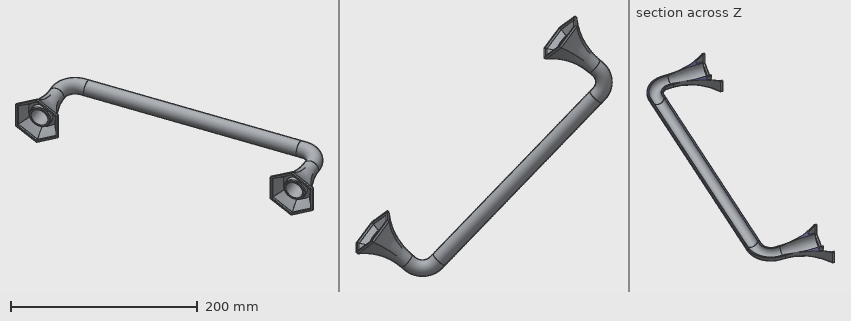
import cadquery as cq
import math

LENGTH = 350.0
DEPTH = 84.0
FOOT_CORNERS = 57.5

TUBE_DIAMETER = 18.0
BORE_DIAMETER = 13.0
BEND_RADIUS = 20.0
ELBOW_STUB = 5.0

RIM_HEIGHT = 2.5
FOOT_WALL = 2.0
POCKET_DEPTH = 13.5
COLLAR_DIAMETER = 25.5
COLLAR_HEIGHT = 6.3
COLLAR_CHAMFER = 1.0
FOOT_BORE_DIAMETER = 20.0
FOOT_BORE_TOP = 26.2
FLARE_STEPS = 6

SIDES = 6
HALF_SIDE_ANGLE = math.pi / SIDES
TUBE_RADIUS = TUBE_DIAMETER / 2
BORE_RADIUS = BORE_DIAMETER / 2
CORNER_RADIUS = FOOT_CORNERS / 2
FLAT_RADIUS = CORNER_RADIUS * math.cos(HALF_SIDE_ANGLE)
FOOT_X = LENGTH / 2 - FLAT_RADIUS
BAR_Y = DEPTH - TUBE_RADIUS
FOOT_HEIGHT = BAR_Y - BEND_RADIUS - ELBOW_STUB
BAR_LENGTH = 2 * (FOOT_X - BEND_RADIUS - ELBOW_STUB)


def plane_at(y):
    """Plane across the foot at height y, with its normal along +Y and local x along +Z."""
    return cq.Plane(origin=(0, y, 0), xDir=(0, 0, 1), normal=(0, 1, 0))


def flare_radius(y, base_radius):
    """Radius at height y on an arc that leaves the neck parallel to the foot axis."""
    from_neck = FOOT_HEIGHT - y
    flare_height = FOOT_HEIGHT - RIM_HEIGHT
    growth = base_radius - TUBE_RADIUS
    arc_radius = (flare_height**2 + growth**2) / (2 * growth)
    return TUBE_RADIUS + arc_radius - math.sqrt(arc_radius**2 - from_neck**2)


def polar(radius, angle):
    return (radius * math.cos(angle), radius * math.sin(angle))


def hexagon(y, inset):
    """Straight-sided hexagon with corners along Z, its sides moved in by inset."""
    across_corners = FOOT_CORNERS - 2 * inset / math.cos(HALF_SIDE_ANGLE)
    return cq.Workplane(plane_at(y)).polygon(SIDES, across_corners)


def flare_section(y, inset):
    """Six bowed sides: a circle at the neck that turns into a hexagon at the rim."""
    corner = flare_radius(y, CORNER_RADIUS) - inset / math.cos(HALF_SIDE_ANGLE)
    flat = flare_radius(y, FLAT_RADIUS) - inset
    section = cq.Workplane(plane_at(y)).moveTo(*polar(corner, 0))
    for side in range(SIDES):
        middle = (2 * side + 1) * HALF_SIDE_ANGLE
        section = section.threePointArc(polar(flat, middle), polar(corner, middle + HALF_SIDE_ANGLE))
    return section.close().val()


def flare(top, inset):
    """Hexagonal band of rim height, continued by the flare up to height top."""
    band = hexagon(0, inset).extrude(RIM_HEIGHT)
    sections = [hexagon(RIM_HEIGHT, inset).val()]
    for step in range(1, FLARE_STEPS + 1):
        y = RIM_HEIGHT + (top - RIM_HEIGHT) * step / FLARE_STEPS
        sections.append(flare_section(y, inset))
    return band.union(cq.Workplane(cq.Solid.makeLoft(sections)))


def foot_bore():
    """Round bore that narrows to the tube bore at the neck."""
    return (
        cq.Workplane("XY")
        .lineTo(FOOT_BORE_DIAMETER / 2, 0)
        .lineTo(FOOT_BORE_DIAMETER / 2, FOOT_BORE_TOP)
        .lineTo(BORE_RADIUS, FOOT_HEIGHT)
        .lineTo(0, FOOT_HEIGHT)
        .close()
        .revolve(360, (0, 0, 0), (0, 1, 0))
    )


def make_foot(x):
    """Hollow flared foot on the axis at x, with a collar around its bore."""
    pocket = flare(POCKET_DEPTH, FOOT_WALL)
    collar_plane = plane_at(POCKET_DEPTH - COLLAR_HEIGHT)
    collar = cq.Workplane(collar_plane).circle(COLLAR_DIAMETER / 2).extrude(COLLAR_HEIGHT)
    collar = collar.faces("<Y").chamfer(COLLAR_CHAMFER)
    foot = flare(FOOT_HEIGHT, 0).cut(pocket).union(collar).cut(foot_bore())
    return foot.translate((x, 0, 0))


def make_elbow(side):
    """Bent tube from a foot to the bar; side is -1 at the -X end and +1 at the +X end."""
    foot_x = side * FOOT_X
    bend_y = BAR_Y - BEND_RADIUS
    bend_x = foot_x - side * BEND_RADIUS
    bend_middle = (
        bend_x + side * BEND_RADIUS * math.cos(math.pi / 4),
        bend_y + BEND_RADIUS * math.sin(math.pi / 4),
    )
    path = (
        cq.Workplane("XY")
        .moveTo(foot_x, FOOT_HEIGHT)
        .lineTo(foot_x, bend_y)
        .threePointArc(bend_middle, (bend_x, BAR_Y))
        .lineTo(side * BAR_LENGTH / 2, BAR_Y)
    )
    start = cq.Workplane(plane_at(FOOT_HEIGHT)).center(0, foot_x)
    return start.circle(TUBE_RADIUS).circle(BORE_RADIUS).sweep(path)


def make_bar():
    """Straight tube between the two elbows."""
    bar = cq.Workplane("YZ").center(BAR_Y, 0).circle(TUBE_RADIUS).circle(BORE_RADIUS)
    return bar.extrude(BAR_LENGTH / 2, both=True)


bar = make_bar()
elbows = [make_elbow(side) for side in (-1, 1)]
feet = [make_foot(x) for x in (-FOOT_X, FOOT_X)]

bodies = [bar, *elbows, *feet]
result = cq.Compound.makeCompound([body.solids().val() for body in bodies])